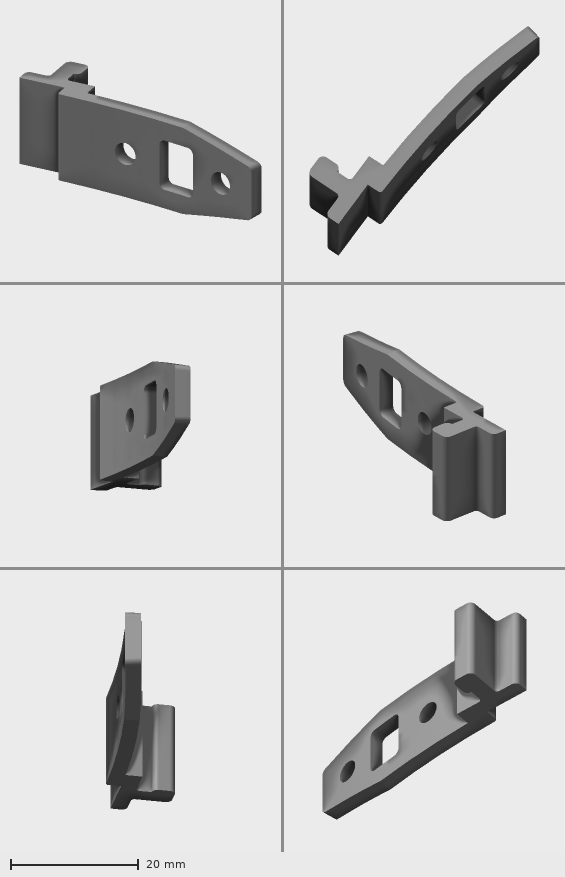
import cadquery as cq
import math

length = 45.1
width = 15.0

tab_thickness = 2.55
tab_round = 0.9
stem_left = 4.0
stem_right = 7.0
head_right = 8.0
head_bottom = 5.15
foot_top = 8.85
head_round = 1.0
hook_round = 0.95
root_round = 0.6
block_right = 12.0

arm_thickness = 2.5
outer_radius = 165.1
inner_radius = outer_radius - arm_thickness
arc_center_x = 5.4
arc_center_y = -outer_radius
lip_left = head_right
lip_round = 0.5

taper_start = 31.1
tip_half_width = 4.4
tip_round = 1.0

hole_diameter = 3.8
hole_positions = (20.25, 38.4)
window_position = 29.8
window_length = 6.45
window_height = 8.55
window_round = 1.0


def arc_point(radius, angle):
    """Point on an arm arc, with the angle measured from the +Y direction toward +X."""
    return (arc_center_x + radius * math.sin(angle), arc_center_y + radius * math.cos(angle))


def arc_angle(radius, x):
    return math.asin((x - arc_center_x) / radius)


def make_foot():
    outline = [
        (0, 0),
        (0, tab_thickness),
        (stem_left, tab_thickness),
        (stem_left, foot_top),
        (head_right, foot_top),
        (head_right, head_bottom),
        (stem_right, head_bottom),
        (stem_right, tab_thickness),
        (block_right, tab_thickness),
        (block_right, -arm_thickness / 2),
        (lip_left, -arm_thickness / 2),
        (lip_left, 0),
    ]
    foot = cq.Workplane("XY").polyline(outline).close().extrude(width / 2, both=True)
    rounds = [
        (tab_round, [(0, tab_thickness)]),
        (head_round, [(stem_left, foot_top), (head_right, foot_top)]),
        (hook_round, [(head_right, head_bottom)]),
        (root_round, [(stem_left, tab_thickness), (stem_right, tab_thickness)]),
    ]
    for radius, corners in rounds:
        for x, y in corners:
            foot = foot.edges(cq.selectors.NearestToPointSelector((x, y, 0))).fillet(radius)
    return foot


def make_arm():
    tip_angle = arc_angle(outer_radius, length)
    outer_start = arc_angle(outer_radius, lip_left)
    inner_start = arc_angle(inner_radius, lip_left)
    arm = (
        cq.Workplane("XY")
        .moveTo(*arc_point(outer_radius, outer_start))
        .threePointArc(
            arc_point(outer_radius, (outer_start + tip_angle) / 2),
            arc_point(outer_radius, tip_angle),
        )
        .lineTo(*arc_point(inner_radius, tip_angle))
        .threePointArc(
            arc_point(inner_radius, (inner_start + tip_angle) / 2),
            arc_point(inner_radius, inner_start),
        )
        .close()
        .extrude(width / 2, both=True)
    )
    lip_corner = (*arc_point(inner_radius, inner_start), 0)
    arm = arm.edges(cq.selectors.NearestToPointSelector(lip_corner)).fillet(lip_round)

    for side in (1, -1):
        trim = (
            cq.Workplane("XZ")
            .polyline([
                (taper_start, side * width / 2),
                (length, side * tip_half_width),
                (length, side * width / 2),
            ])
            .close()
            .extrude(length, both=True)
        )
        arm = arm.cut(trim)
    tip_x, tip_y = arc_point((outer_radius + inner_radius) / 2, tip_angle)
    for side in (1, -1):
        tip_corner = (tip_x, tip_y, side * tip_half_width)
        arm = arm.edges(cq.selectors.NearestToPointSelector(tip_corner)).fillet(tip_round)
    return arm


def radial_workplane(x):
    """Plane tangent to the concave face at the given X, facing out through the arm."""
    angle = arc_angle(inner_radius, x)
    plane = cq.Plane(
        origin=(*arc_point(inner_radius, angle), 0),
        xDir=(math.cos(angle), -math.sin(angle), 0),
        normal=(math.sin(angle), math.cos(angle), 0),
    )
    return cq.Workplane(plane)


def make_openings():
    cut_reach = 2 * arm_thickness
    openings = (
        radial_workplane(window_position)
        .rect(window_length, window_height)
        .extrude(cut_reach, both=True)
    )
    openings = openings.edges(cq.selectors.ParallelDirSelector(openings.plane.zDir)).fillet(window_round)
    for x in hole_positions:
        hole = radial_workplane(x).circle(hole_diameter / 2).extrude(cut_reach, both=True)
        openings = openings.union(hole)
    return openings


result = make_foot().union(make_arm()).cut(make_openings())